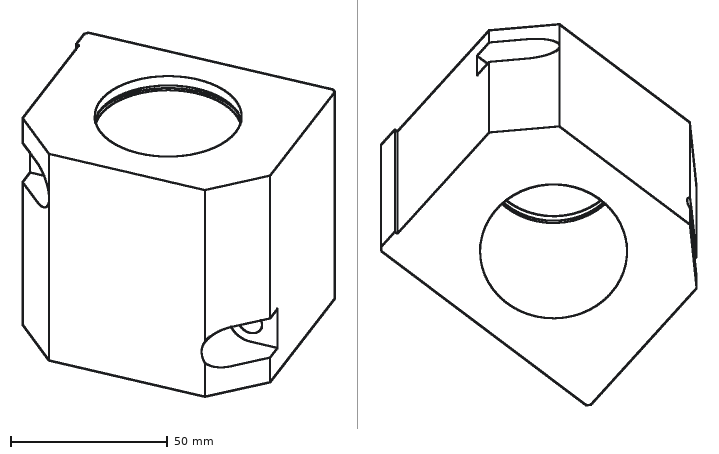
import cadquery as cq

width = 87.0
depth = 70.0
height = 79.0

flange_step = 1.05
flange_depth = 8.0
rear_chamfer = 1.05
front_chamfer = 15.9

bore_diameter = 47.0
groove_diameter = 49.5
groove_top_offset = 3.6
groove_width = 1.8

screw_diameter = 8.35
screw_x = 33.9
screw_z = 22.5
pocket_width = 15.0
pocket_depth = 22.0

right = width / 2
left = -right
rear = depth / 2
front = -rear
body_left = left + flange_step


def block():
    outline = [
        (left, rear - rear_chamfer),
        (left + rear_chamfer, rear),
        (right - rear_chamfer, rear),
        (right, rear - rear_chamfer),
        (right, front + front_chamfer),
        (right - front_chamfer, front),
        (body_left + front_chamfer, front),
        (body_left, front + front_chamfer),
        (body_left, rear - flange_depth),
        (left, rear - flange_depth),
    ]
    return cq.Workplane("XY").workplane(offset=-height / 2).polyline(outline).close().extrude(height)


def bore():
    hole = cq.Workplane("XY").circle(bore_diameter / 2).extrude(height / 2, both=True)
    groove_bottom = height / 2 - groove_top_offset - groove_width
    groove = cq.Workplane("XY").workplane(offset=groove_bottom).circle(groove_diameter / 2).extrude(groove_width)
    return hole.union(groove)


def screw_cut(side):
    """Screw hole and its pocket open to the side; side is -1 for upper left, 1 for lower right."""
    x = side * screw_x
    z = -side * screw_z
    front_plane = cq.Workplane("XZ", origin=(0, front, 0))
    hole = front_plane.center(x, z).circle(screw_diameter / 2).extrude(-depth)
    round_end = front_plane.center(x, z).circle(pocket_width / 2).extrude(-pocket_depth)
    run_out = right - screw_x
    open_end = (
        front_plane.center(x + side * run_out / 2, z)
        .rect(run_out, pocket_width)
        .extrude(-pocket_depth)
    )
    return hole.union(round_end).union(open_end)


result = block().cut(bore())
for side in (-1, 1):
    result = result.cut(screw_cut(side))